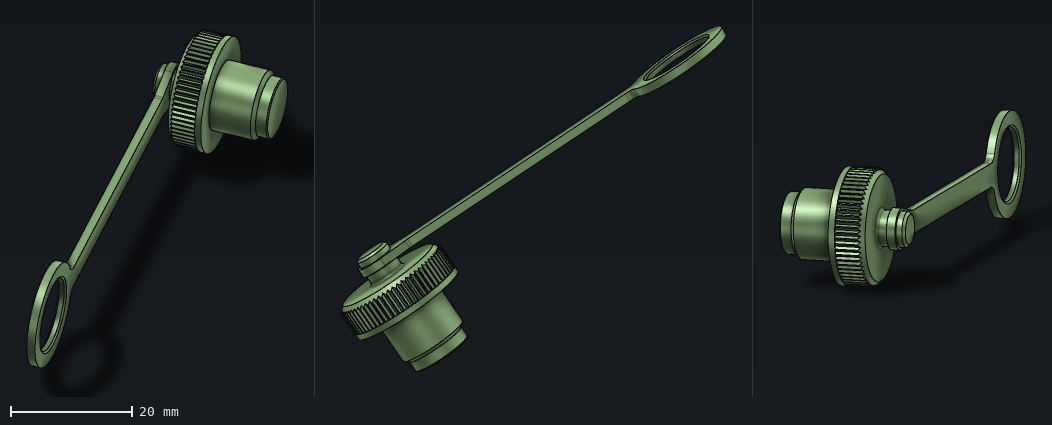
import cadquery as cq
import math

overall_length = 79.0

cap_diameter = 20.0
pin_diameter = 6.0
plug_diameter = 12.0
tip_diameter = 10.4
strap_eye_diameter = 7.0
ring_outer_diameter = 18.0
ring_hole_diameter = 12.5

cap_face_x = 5.0
knurl_end_x = 9.95
cap_back_x = 11.05
plug_shoulder_x = 18.3
tip_start_x = 18.95
tip_end_x = 21.0

pin_chamfer = 0.5
pin_root_radius = 0.5
cap_chamfer = 1.0
tip_chamfer = 0.2
ring_hole_chamfer = 0.3

groove_count = 65
groove_depth = 0.4
groove_width = 0.8

strap_start_x = 1.5
strap_thickness = 1.5
strap_width = 4.0
taper_end_y = -6.1
taper_blend_radius = 2.0
ring_blend_radius = 2.0

cap_radius = cap_diameter / 2
ring_center_y = cap_radius + ring_outer_diameter / 2 - overall_length


def make_cap():
    """Turned pin, cap and plug as one revolved profile about X."""
    pin_radius = pin_diameter / 2
    plug_radius = plug_diameter / 2
    tip_radius = tip_diameter / 2
    root_mid = pin_root_radius * (1 - math.sqrt(0.5))
    profile = (
        cq.Workplane("XY")
        .moveTo(0, 0)
        .lineTo(0, pin_radius - pin_chamfer)
        .lineTo(pin_chamfer, pin_radius)
        .lineTo(cap_face_x - pin_root_radius, pin_radius)
        .threePointArc(
            (cap_face_x - root_mid, pin_radius + root_mid),
            (cap_face_x, pin_radius + pin_root_radius),
        )
        .lineTo(cap_face_x, cap_radius - cap_chamfer)
        .lineTo(cap_face_x + cap_chamfer, cap_radius)
        .lineTo(cap_back_x, cap_radius)
        .lineTo(cap_back_x, plug_radius)
        .lineTo(plug_shoulder_x, plug_radius)
        .lineTo(tip_start_x, tip_radius)
        .lineTo(tip_end_x - tip_chamfer, tip_radius)
        .lineTo(tip_end_x, tip_radius - tip_chamfer)
        .lineTo(tip_end_x, 0)
        .close()
    )
    return profile.revolve(360, (0, 0, 0), (1, 0, 0))


def make_knurl_grooves():
    """V-groove cutters around the cap, open at the chamfer and ending at the plain rim."""
    cutter_scale = 1.5
    root_radius = cap_radius - groove_depth
    cutter_radius = root_radius + cutter_scale * groove_depth
    half_width = cutter_scale * groove_width / 2
    cutter = (
        cq.Workplane("YZ", origin=(cap_face_x, 0, 0))
        .polyline([(0, root_radius), (half_width, cutter_radius), (-half_width, cutter_radius)])
        .close()
        .extrude(knurl_end_x - cap_face_x)
        .val()
    )
    step = 360 / groove_count
    grooves = [cutter.rotate((0, 0, 0), (1, 0, 0), i * step) for i in range(groove_count)]
    return cq.Compound.makeCompound(grooves)


def round_corners(body, corner_y, radius):
    """Fillet the upper and lower strap corners that run along X at the given Y."""
    margin = 0.8
    corners = cq.selectors.BoxSelector(
        (strap_start_x - margin, corner_y - margin, -strap_width),
        (strap_start_x + strap_thickness + margin, corner_y + margin, strap_width),
    )
    return body.edges("|X").edges(corners).fillet(radius)


def make_strap():
    """Flat strap: eye around the pin, tapered neck, straight band and end ring."""
    plane = cq.Workplane("YZ", origin=(strap_start_x, 0, 0))
    half_width = strap_width / 2
    eye_radius = strap_eye_diameter / 2

    corner_distance = math.hypot(taper_end_y, half_width)
    tangent_angle = math.atan2(half_width, taper_end_y) - math.acos(eye_radius / corner_distance)
    tangent_y = eye_radius * math.cos(tangent_angle)
    tangent_z = eye_radius * math.sin(tangent_angle)

    band = (
        plane.moveTo(tangent_y, tangent_z)
        .threePointArc((eye_radius, 0), (tangent_y, -tangent_z))
        .lineTo(taper_end_y, -half_width)
        .lineTo(ring_center_y, -half_width)
        .lineTo(ring_center_y, half_width)
        .lineTo(taper_end_y, half_width)
        .close()
        .extrude(strap_thickness)
    )
    band = round_corners(band, taper_end_y, taper_blend_radius)

    ring = (
        plane.center(ring_center_y, 0)
        .circle(ring_outer_diameter / 2)
        .extrude(strap_thickness)
    )
    strap = band.union(ring)
    neck_y = ring_center_y + math.sqrt((ring_outer_diameter / 2) ** 2 - half_width**2)
    strap = round_corners(strap, neck_y, ring_blend_radius)

    return strap.cut(make_ring_hole())


def make_ring_hole():
    """Cutter for the hole through the ring, chamfered at both faces."""
    hole_radius = ring_hole_diameter / 2
    rim_radius = hole_radius + ring_hole_chamfer
    profile = (
        cq.Workplane("XY", origin=(strap_start_x, ring_center_y, 0))
        .polyline(
            [
                (0, 0),
                (0, rim_radius),
                (ring_hole_chamfer, hole_radius),
                (strap_thickness - ring_hole_chamfer, hole_radius),
                (strap_thickness, rim_radius),
                (strap_thickness, 0),
            ]
        )
        .close()
    )
    return profile.revolve(360, (0, 0, 0), (1, 0, 0))


result = make_cap().cut(cq.Workplane(make_knurl_grooves())).union(make_strap())